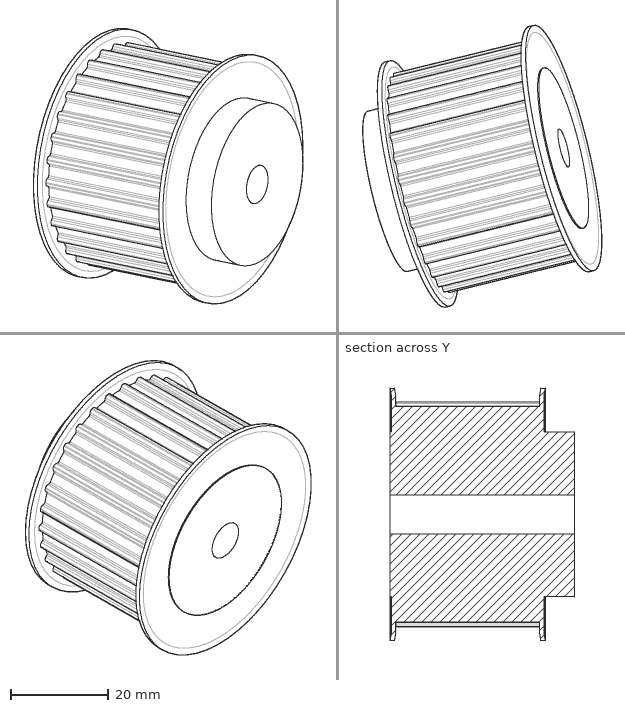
import cadquery as cq
import math


overall_length = 38.0
flanged_length = 32.0

hub_diameter = 34.0
bore_diameter = 8.0

tooth_count = 30
tip_radius = 23.25
root_radius = 22.2
crest_half_width = 0.1
shoulder_round_radius = 0.72
flank_angle = 25.0
root_fillet_radius = 0.4

flange_radius = 26.0
flange_thickness = 1.0
rim_bend = 0.25
bend_radius = 24.55

start_x = -overall_length / 2
flange_end_x = start_x + flanged_length
flange_depth = flange_thickness + rim_bend
toothed_length = flanged_length - 2 * flange_depth
toothed_start_x = start_x + flange_depth
pitch_angle = 360.0 / tooth_count


def make_cylinder(diameter, from_x, length):
    return cq.Workplane("YZ", origin=(from_x, 0, 0)).circle(diameter / 2).extrude(length)


def turned(point, angle):
    """Rotate a (y, z) point about the pulley axis by an angle in degrees."""
    y, z = point
    turn = math.radians(angle)
    return (y * math.cos(turn) - z * math.sin(turn), y * math.sin(turn) + z * math.cos(turn))


def tooth_half_profile():
    """Points on the +Z half of a tooth that points along +Y, from the crest down to the root.

    A shoulder round leads from the crest into a straight flank, and a root fillet
    blends the flank into the root circle.
    """
    slope = math.radians(flank_angle)
    crest_end = (tip_radius, crest_half_width)
    flank_top = (
        tip_radius - shoulder_round_radius * (1 - math.sin(slope)),
        crest_half_width + shoulder_round_radius * math.cos(slope),
    )

    offset_y = flank_top[0] + root_fillet_radius * math.sin(slope)
    offset_z = flank_top[1] + root_fillet_radius * math.cos(slope)
    center_radius = root_radius + root_fillet_radius
    along = offset_y * math.cos(slope) - offset_z * math.sin(slope)
    excess = offset_y**2 + offset_z**2 - center_radius**2
    flank_length = along - math.sqrt(along**2 - excess)

    flank_bottom = (
        flank_top[0] - flank_length * math.cos(slope),
        flank_top[1] + flank_length * math.sin(slope),
    )
    center_y = offset_y - flank_length * math.cos(slope)
    center_z = offset_z + flank_length * math.sin(slope)
    shrink = root_radius / center_radius
    root_end = (center_y * shrink, center_z * shrink)
    return crest_end, flank_top, flank_bottom, root_end


def make_toothed_rim():
    half = tooth_half_profile()
    mirrored_half = [(y, -z) for y, z in half]
    root_middle = turned((root_radius, 0), pitch_angle / 2)
    outline = cq.Workplane("YZ", origin=(toothed_start_x, 0, 0)).moveTo(*mirrored_half[0])
    for index in range(tooth_count):
        angle = index * pitch_angle
        next_angle = angle + pitch_angle
        crest_end, flank_top, flank_bottom, root_end = [turned(point, angle) for point in half]
        next_crest, next_flank_top, next_flank_bottom, next_root = [
            turned(point, next_angle) for point in mirrored_half
        ]
        outline = (
            outline.lineTo(*crest_end)
            .radiusArc(flank_top, -shoulder_round_radius)
            .lineTo(*flank_bottom)
            .radiusArc(root_end, root_fillet_radius)
            .threePointArc(turned(root_middle, angle), next_root)
            .radiusArc(next_flank_bottom, root_fillet_radius)
            .lineTo(*next_flank_top)
            .radiusArc(next_crest, -shoulder_round_radius)
        )
    return outline.close().extrude(toothed_length)


def make_flange(outer_x, inward):
    """Dished disc with its rim edge at outer_x; inward is the X direction (+1 or -1) to the teeth."""
    profile = [
        (rim_bend, 0),
        (rim_bend, bend_radius),
        (0, flange_radius),
        (flange_thickness, flange_radius),
        (flange_depth, bend_radius),
        (flange_depth, 0),
    ]
    points = [(outer_x + inward * depth, radius) for depth, radius in profile]
    return cq.Workplane("XY").polyline(points).close().revolve(360, (0, 0, 0), (1, 0, 0))


hub = make_cylinder(hub_diameter, start_x, overall_length)
bore = make_cylinder(bore_diameter, start_x, overall_length)

result = (
    make_toothed_rim()
    .union(make_flange(start_x, 1))
    .union(make_flange(flange_end_x, -1))
    .union(hub)
    .cut(bore)
)